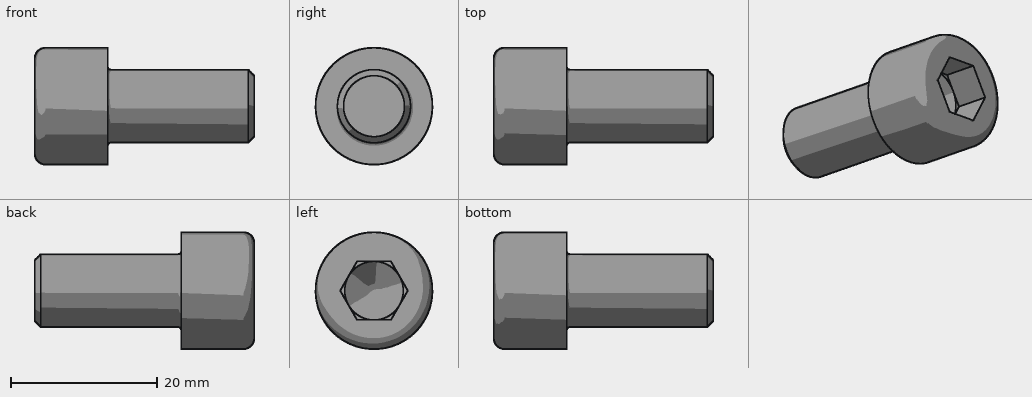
import cadquery as cq
import math

thread_diameter = 10.0
shank_length = 20.0
head_diameter = 16.0
head_height = thread_diameter
head_rounding = 1.5
neck_fillet = 0.4
tip_chamfer = 0.84
socket_across_flats = 8.0
socket_depth = 5.0
drill_point_angle = 120.0

head_radius = head_diameter / 2
shank_radius = thread_diameter / 2
socket_radius = socket_across_flats / 2
overall_length = head_height + shank_length


def make_screw_body():
    """Revolve head, neck fillet, shank and chamfered tip about the X axis."""
    arc_leg = math.sqrt(0.5)
    rounding_middle = head_rounding * (1 - arc_leg)
    fillet_middle = neck_fillet * (1 - arc_leg)
    profile = (
        cq.Workplane("XZ")
        .moveTo(0, 0)
        .lineTo(0, head_radius - head_rounding)
        .threePointArc(
            (rounding_middle, head_radius - rounding_middle),
            (head_rounding, head_radius),
        )
        .lineTo(head_height, head_radius)
        .lineTo(head_height, shank_radius + neck_fillet)
        .threePointArc(
            (head_height + fillet_middle, shank_radius + fillet_middle),
            (head_height + neck_fillet, shank_radius),
        )
        .lineTo(overall_length - tip_chamfer, shank_radius)
        .lineTo(overall_length, shank_radius - tip_chamfer)
        .lineTo(overall_length, 0)
        .close()
    )
    return profile.revolve(360, (0, 0, 0), (1, 0, 0))


def make_socket():
    """Hexagonal socket, two corners along Y, ending in a conical drill point."""
    across_corners = socket_across_flats / math.cos(math.pi / 6)
    hexagon = cq.Workplane("YZ").polygon(6, across_corners).extrude(socket_depth)

    point_depth = socket_radius / math.tan(math.radians(drill_point_angle / 2))
    drill_point = (
        cq.Workplane("XZ")
        .moveTo(socket_depth, 0)
        .lineTo(socket_depth, socket_radius)
        .lineTo(socket_depth + point_depth, 0)
        .close()
        .revolve(360, (0, 0, 0), (1, 0, 0))
    )
    return hexagon.union(drill_point)


result = make_screw_body().cut(make_socket())